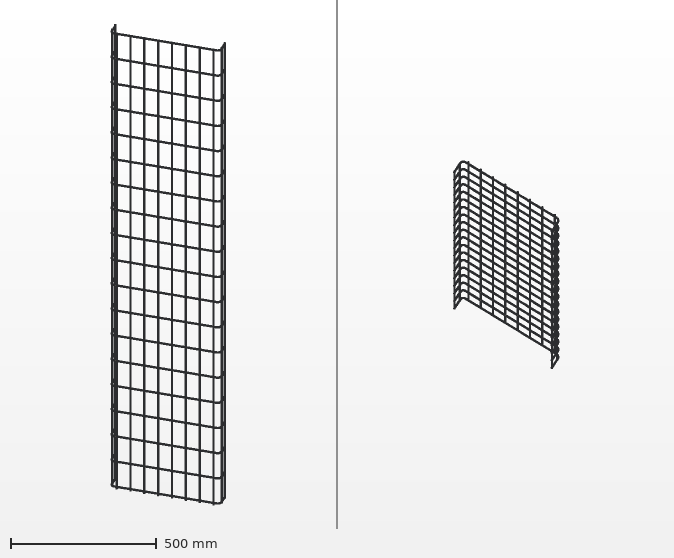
import cadquery as cq

length = 1808.0
width = 400.0
depth = 58.0
wire = 4.5
bend_radius = 13.0
cross_count = 19
end_overhang = 4.2
floor_count = 8
flange_wire_gap = 33.0
overlap = 0.4

cross_pitch = (length - 2 * end_overhang) / (cross_count - 1)
floor_pitch = cross_pitch / 2

wire_radius = wire / 2
tip_y = depth / 2
floor_wire_y = -depth / 2 + wire_radius
cross_floor_y = floor_wire_y + wire - overlap
flange_x = width / 2 - wire_radius
outer_wire_y = tip_y - wire_radius
inner_wire_y = outer_wire_y - flange_wire_gap


def centred(count, pitch):
    """Evenly spaced places, symmetric about zero."""
    return [(i - (count - 1) / 2) * pitch for i in range(count)]


def cross_wire():
    """U-shaped wire: two flanges joined by the floor through rounded corners."""
    straight_x = flange_x - bend_radius
    straight_y = cross_floor_y + bend_radius
    path = (
        cq.Workplane("XY")
        .moveTo(-flange_x, tip_y)
        .lineTo(-flange_x, straight_y)
        .radiusArc((-straight_x, cross_floor_y), -bend_radius)
        .lineTo(straight_x, cross_floor_y)
        .radiusArc((flange_x, straight_y), -bend_radius)
        .lineTo(flange_x, tip_y)
    )
    profile = cq.Workplane("XZ", origin=(-flange_x, tip_y, 0)).circle(wire_radius)
    return profile.sweep(path).val()


def long_wires():
    """Straight wires along Z, on the floor and on both flanges."""
    floor_points = [(x, floor_wire_y) for x in centred(floor_count, floor_pitch)]
    flange_points = [
        (side * flange_x, y)
        for side in (-1, 1)
        for y in (inner_wire_y, outer_wire_y)
    ]
    wires = (
        cq.Workplane("XY", origin=(0, 0, -length / 2))
        .pushPoints(floor_points + flange_points)
        .circle(wire_radius)
        .extrude(length)
    )
    return wires.solids().vals()


u_wire = cross_wire()
cross_wires = [u_wire.translate(cq.Vector(0, 0, z)) for z in centred(cross_count, cross_pitch)]
result = cq.Workplane("XY").newObject([cross_wires[0].fuse(*cross_wires[1:], *long_wires())])